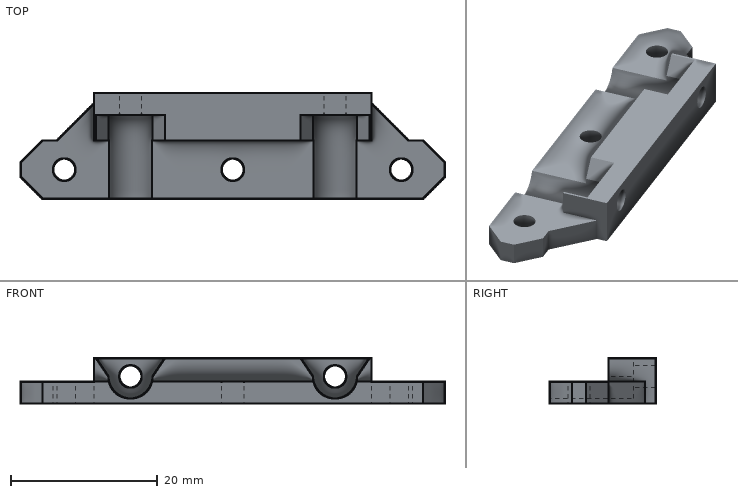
import cadquery as cq

length = 58.0
depth = 14.5
height = 6.2

plate_thickness = 3.0
tab_depth = 8.0
corner_chamfer = 3.0
shoulder_length = 5.0
mount_hole_diameter = 3.0
mount_hole_spacing = 23.0
mount_hole_y = 4.0

block_length = 37.95
block_depth = 6.5

channel_offset = 14.0
channel_radius = 3.0
channel_axis_z = 3.7
flare_half_width = 4.7
back_wall = 3.0
rod_hole_diameter = 3.0

half_length = length / 2
half_block = block_length / 2


def make_plate():
    """Plate with chamfered ends and 45 degree sides rising to the block."""
    slope_start_x = half_length - shoulder_length
    slope_end_y = tab_depth + slope_start_x - half_block
    right_side = [
        (half_length - corner_chamfer, 0),
        (half_length, corner_chamfer),
        (half_length, tab_depth - corner_chamfer),
        (half_length - corner_chamfer, tab_depth),
        (slope_start_x, tab_depth),
        (half_block, slope_end_y),
    ]
    left_side = [(-x, y) for x, y in reversed(right_side)]
    return cq.Workplane("XY").polyline(right_side + left_side).close().extrude(plate_thickness)


def make_block():
    """Full-height block flush with the back edge."""
    block = cq.Workplane("XY").box(block_length, block_depth, height, centered=(True, False, False))
    return block.translate((0, depth - block_depth, 0))


def make_channel(center_x):
    """Cutter with a half-round bottom and a flared top."""
    left = center_x - channel_radius
    right = center_x + channel_radius
    return (
        cq.Workplane("XZ")
        .moveTo(left, channel_axis_z)
        .threePointArc((center_x, channel_axis_z - channel_radius), (right, channel_axis_z))
        .lineTo(center_x + flare_half_width, height)
        .lineTo(center_x - flare_half_width, height)
        .close()
        .extrude(-(depth - back_wall))
    )


def make_rod_hole(center_x):
    """Cutter for the rod hole, on the channel axis."""
    profile = cq.Workplane("XZ").center(center_x, channel_axis_z).circle(rod_hole_diameter / 2)
    return profile.extrude(-depth)


def make_mount_holes():
    """Cutters for the three vertical holes."""
    positions = [(x, mount_hole_y) for x in (-mount_hole_spacing, 0, mount_hole_spacing)]
    return (
        cq.Workplane("XY")
        .pushPoints(positions)
        .circle(mount_hole_diameter / 2)
        .extrude(plate_thickness)
    )


result = make_plate().union(make_block()).cut(make_mount_holes())
for channel_x in (-channel_offset, channel_offset):
    result = result.cut(make_channel(channel_x)).cut(make_rod_hole(channel_x))